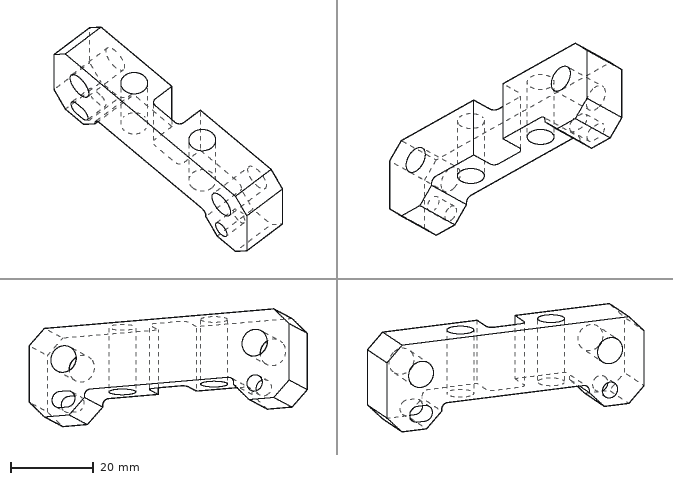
import cadquery as cq
import math

length = 68.0
depth = 12.0
height = 22.0
corner_chamfer = 4.0

recess_width = 39.0
recess_height = 6.0
foot_chamfer = 4.0
inner_radius = 1.5

notch_width = 10.0
notch_depth = 7.0

cross_hole_diameter = 6.6
cross_hole_spacing = 50.0
cross_hole_drop = 8.0
vertical_hole_diameter = 6.5
vertical_hole_spacing = 24.0

pin_diameter = 4.0
pin_height = 4.0
pin_depth = 6.0
drill_point_angle = 118.0
slot_length = 6.0

front_y = -depth / 2
rear_y = depth / 2
end_hole_x = cross_hole_spacing / 2


def chamfered_block():
    """Block with its four end corners cut off."""
    return (
        cq.Workplane("XY")
        .box(length, depth, height, centered=(True, True, False))
        .edges("|Y")
        .chamfer(corner_chamfer)
    )


def foot_recess():
    """Recess that flares outward at the bottom and has rounded upper corners."""
    half_width = recess_width / 2
    half_mouth = half_width + foot_chamfer
    return (
        cq.Workplane("XZ", origin=(0, rear_y, 0))
        .moveTo(-half_mouth, 0)
        .lineTo(-half_width, foot_chamfer)
        .lineTo(-half_width, recess_height)
        .lineTo(half_width, recess_height)
        .lineTo(half_width, foot_chamfer)
        .lineTo(half_mouth, 0)
        .close()
        .extrude(depth)
        .faces(">Z")
        .edges("|Y")
        .fillet(inner_radius)
    )


def rear_notch():
    """Full-height notch with rounded inner corners."""
    return (
        cq.Workplane("XY")
        .box(notch_width, notch_depth, height, centered=(True, False, False))
        .translate((0, rear_y - notch_depth, 0))
        .faces("<Y")
        .edges("|Z")
        .fillet(inner_radius)
    )


def cross_holes():
    """Through holes along Y, one near each end."""
    return (
        cq.Workplane("XZ", origin=(0, rear_y, height - cross_hole_drop))
        .pushPoints([(-end_hole_x, 0), (end_hole_x, 0)])
        .circle(cross_hole_diameter / 2)
        .extrude(depth)
    )


def vertical_holes():
    """Through holes along Z, one on each side of the notch."""
    return (
        cq.Workplane("XY")
        .pushPoints([(-vertical_hole_spacing / 2, 0), (vertical_hole_spacing / 2, 0)])
        .circle(vertical_hole_diameter / 2)
        .extrude(height)
    )


def pin_hole():
    """Blind hole with a conical drill point, made by turning its half section."""
    radius = pin_diameter / 2
    point_depth = radius / math.tan(math.radians(drill_point_angle / 2))
    return (
        cq.Workplane("XY", origin=(end_hole_x, front_y, pin_height))
        .lineTo(radius, 0)
        .lineTo(radius, pin_depth)
        .lineTo(0, pin_depth + point_depth)
        .close()
        .revolve(360, (0, 0), (0, 1))
    )


def pin_slot():
    """Blind flat-bottomed slot in the other foot."""
    return (
        cq.Workplane("XZ", origin=(-end_hole_x, front_y, pin_height))
        .slot2D(slot_length, pin_diameter)
        .extrude(-pin_depth)
    )


result = (
    chamfered_block()
    .cut(foot_recess())
    .cut(rear_notch())
    .cut(cross_holes())
    .cut(vertical_holes())
    .cut(pin_hole())
    .cut(pin_slot())
)